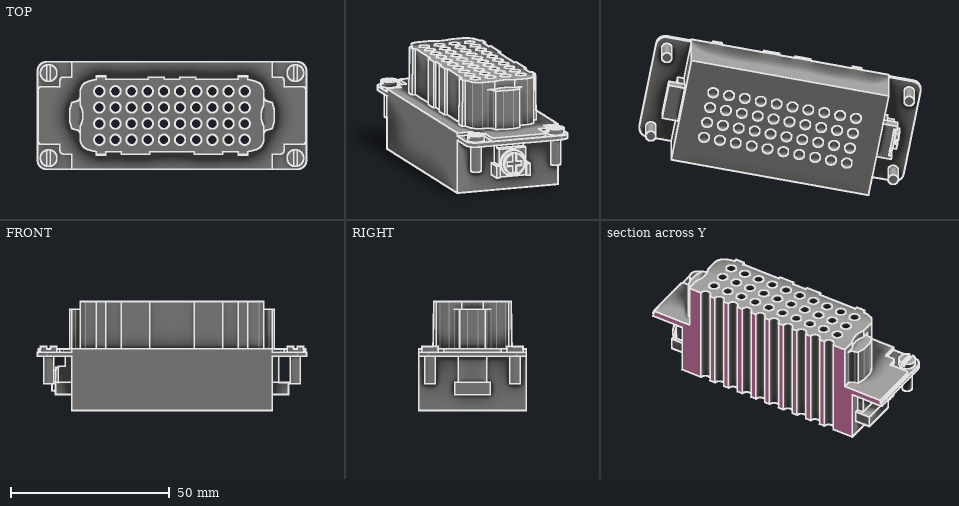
import cadquery as cq

total_length = 84.9
total_width = 34.0
total_height = 34.5

body_length = 63.35
body_top = 19.5
plate_bottom = 17.15
plate_top = 18.5
plate_corner_radius = 3.0

cover_length = 84.2
cover_tip_width = 18.2
cover_tip_radius = 0.85
cover_shoulder_length = 70.65
cover_shoulder_width = 24.3
cover_shoulder_radius = 1.1

tower_half_length = 28.95
tower_half_width = 11.4
end_flat_half_width = 7.55
corner_arc_joint = (27.3, 10.4)
end_arc_mid = (28.45, 9.2)
side_arc_mid = (25.8, 10.95)
side_flat_half_length = 23.95
end_hollow_half_width = 3.4
end_hollow_depth = 0.85

rib_half_width = 12.1
corner_rib_length = 3.05
corner_rib_top_half_width = 12.2
corner_rib_base_half_width = 12.5
back_rib_length = 5.1
back_rib_center = 5.0
front_rib_length = 8.9
front_rib_center = 11.5

key_top = 32.0
key_tip = 32.3
key_tip_half_width = 1.7
key_corner = (31.6, 4.1)
key_root_start = (30.6, 4.4)
key_root_mid = (29.5, 4.8)
key_root_half_width = 5.8

hole_columns = 10
hole_rows = 4
hole_pitch = 5.1
hole_diameter = 3.2

screw_spacing_x = 77.8
screw_spacing_y = 26.8
screw_head_diameter = 5.3
screw_head_top = 20.3
screw_slot_width = 1.1
screw_slot_depth = 0.85
shank_diameter = 3.2
shank_bottom = 8.5

terminal_width = 9.0
terminal_neck_reach = 33.7
terminal_block_reach = 35.8
terminal_block_top = 14.1
foot_width = 11.2
foot_reach = 36.8
foot_bottom = 5.1
foot_top = 8.9

earth_screw_height = 9.5
washer_diameter = 8.2
washer_face = 36.6
earth_head_diameter = 6.6
earth_head_face = 37.9
cross_slot_width = 1.45
cross_slot_length = 4.9
cross_slot_depth = 0.85


def box(x_range, y_range, z_range):
    """Box spanning the given (low, high) pair on each axis."""
    size = [high - low for low, high in (x_range, y_range, z_range)]
    corner = (x_range[0], y_range[0], z_range[0])
    return cq.Workplane("XY").box(*size, centered=False).translate(corner)


def slab(length, width, bottom, top):
    """Block centred on the Z axis."""
    return cq.Workplane("XY", origin=(0, 0, bottom)).rect(length, width).extrude(top - bottom)


def mirrored_pair(solid, plane):
    """The solid together with its mirror image."""
    return solid.union(solid.mirror(plane))


def make_housing():
    block = slab(body_length, total_width, 0, body_top)
    plate = slab(total_length, total_width, plate_bottom, plate_top)
    plate = plate.edges("|Z").fillet(plate_corner_radius)
    tip = slab(cover_length, cover_tip_width, plate_top, body_top)
    tip = tip.edges("|Z").fillet(cover_tip_radius)
    shoulder = slab(cover_shoulder_length, cover_shoulder_width, plate_top, body_top)
    shoulder = shoulder.edges("|Z").fillet(cover_shoulder_radius)
    return block.union(plate).union(tip).union(shoulder)


def make_tower_core():
    """Rounded tower, built from one quarter and mirrored."""
    quarter = (
        cq.Workplane("XY", origin=(0, 0, body_top))
        .lineTo(tower_half_length, 0)
        .lineTo(tower_half_length, end_flat_half_width)
        .threePointArc(end_arc_mid, corner_arc_joint)
        .threePointArc(side_arc_mid, (side_flat_half_length, tower_half_width))
        .lineTo(0, tower_half_width)
        .close()
        .extrude(total_height - body_top)
    )
    core = mirrored_pair(mirrored_pair(quarter, "YZ"), "XZ")
    hollow_radius = (end_hollow_half_width**2 + end_hollow_depth**2) / (2 * end_hollow_depth)
    hollow_center = tower_half_length - end_hollow_depth + hollow_radius
    hollow = (
        cq.Workplane("XY", origin=(hollow_center, 0, key_top))
        .circle(hollow_radius)
        .extrude(total_height - key_top)
    )
    return core.cut(mirrored_pair(hollow, "YZ"))


def make_key():
    """Key on the +X end of the tower, with flared roots."""
    root = (tower_half_length, key_root_half_width)
    half = (
        cq.Workplane("XY", origin=(0, 0, body_top))
        .moveTo(tower_half_length - end_hollow_depth, 0)
        .lineTo(key_tip, 0)
        .lineTo(key_tip, key_tip_half_width)
        .lineTo(*key_corner)
        .lineTo(*key_root_start)
        .threePointArc(key_root_mid, root)
        .lineTo(tower_half_length - end_hollow_depth, key_root_half_width)
        .close()
        .extrude(key_top - body_top)
    )
    return mirrored_pair(half, "XZ")


def rib_pair(center, length, side, base_reach, top_reach):
    """Two ribs at +center and -center along X, on the +Y (side = 1) or -Y (side = -1) wall."""
    outline = [
        (0, body_top),
        (side * base_reach, body_top),
        (side * top_reach, total_height),
        (0, total_height),
    ]
    start = cq.Workplane("YZ", origin=(center - length / 2, 0, 0))
    return mirrored_pair(start.polyline(outline).close().extrude(length), "YZ")


def make_tower():
    tower = make_tower_core().union(mirrored_pair(make_key(), "YZ"))
    corner_rib_center = side_flat_half_length - corner_rib_length / 2
    for center, length, side, base_reach, top_reach in (
        (corner_rib_center, corner_rib_length, 1, corner_rib_base_half_width, corner_rib_top_half_width),
        (corner_rib_center, corner_rib_length, -1, corner_rib_base_half_width, corner_rib_top_half_width),
        (back_rib_center, back_rib_length, 1, rib_half_width, rib_half_width),
        (front_rib_center, front_rib_length, -1, rib_half_width, rib_half_width),
    ):
        tower = tower.union(rib_pair(center, length, side, base_reach, top_reach))
    return tower


def make_contact_holes():
    return (
        cq.Workplane("XY")
        .rarray(hole_pitch, hole_pitch, hole_columns, hole_rows)
        .circle(hole_diameter / 2)
        .extrude(total_height)
    )


def screw_columns(diameter, bottom, top):
    return (
        cq.Workplane("XY", origin=(0, 0, bottom))
        .rarray(screw_spacing_x, screw_spacing_y, 2, 2)
        .circle(diameter / 2)
        .extrude(top - bottom)
    )


def make_mounting_screws():
    slots = (
        cq.Workplane("XY", origin=(0, 0, screw_head_top - screw_slot_depth))
        .rarray(screw_spacing_x, screw_spacing_y, 2, 2)
        .rect(screw_slot_width, screw_head_diameter)
        .extrude(screw_slot_depth)
    )
    heads = screw_columns(screw_head_diameter, plate_bottom, screw_head_top).cut(slots)
    return heads.union(screw_columns(shank_diameter, shank_bottom, plate_top))


def make_terminals():
    """Foot and neck at both ends; the -X end also carries the screw block."""
    neck = slab(2 * terminal_neck_reach, terminal_width, foot_bottom, plate_top)
    foot = slab(2 * foot_reach, foot_width, foot_bottom, foot_top)
    half_width = terminal_width / 2
    seat = box((-foot_reach, -terminal_block_reach), (-half_width, half_width), (foot_bottom, foot_top))
    block = box((-terminal_block_reach, 0), (-half_width, half_width), (foot_bottom, terminal_block_top))
    return neck.union(foot.cut(seat)).union(block)


def make_earth_screw():
    """Cross-slotted screw on its washer, pointing toward -X."""

    def disc(diameter, face):
        start = cq.Workplane("YZ", origin=(-face, 0, earth_screw_height))
        return start.circle(diameter / 2).extrude(face - terminal_block_reach)

    screw = disc(washer_diameter, washer_face).union(disc(earth_head_diameter, earth_head_face))
    cross_plane = cq.Workplane("YZ", origin=(-earth_head_face, 0, earth_screw_height))
    for width, height in (
        (cross_slot_length, cross_slot_width),
        (cross_slot_width, earth_head_diameter),
    ):
        screw = screw.cut(cross_plane.rect(width, height).extrude(cross_slot_depth))
    return screw


result = (
    make_housing()
    .union(make_tower())
    .union(make_terminals())
    .cut(make_contact_holes())
    .union(make_mounting_screws())
    .union(make_earth_screw())
)